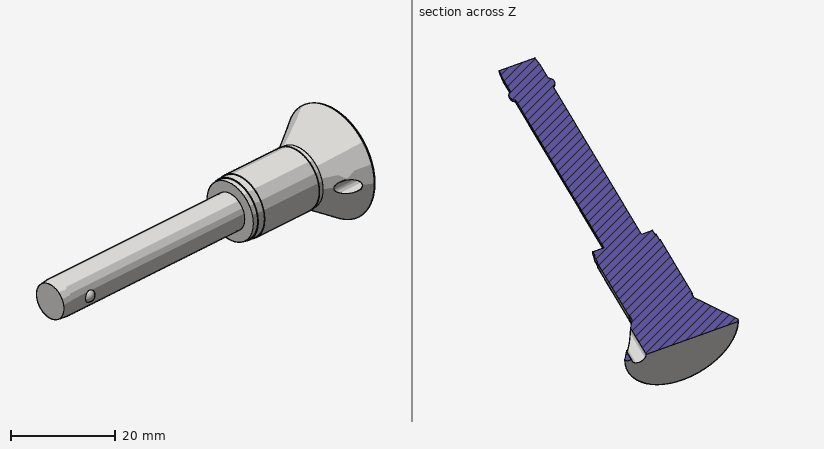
import cadquery as cq

total_length = 75.7
knob_radius = 12.0
barrel_radius = 6.7
shoulder_radius = 6.6
collar_radius = 6.35
pin_radius = 4.0
tip_radius = 3.8

rim_depth = 0.6
flare_end = 9.0
barrel_start = 10.1
shoulder_start = 24.75
shoulder_end = 26.35
collar_end = 27.5
tip_start = 73.65

ball_radius = 1.4
ball_offset = 3.4
ball_depth = 68.9

lanyard_hole_radius = 1.5
lanyard_hole_offset = 9.2

back_y = total_length / 2


def make_body():
    """Revolve the stepped half-outline (radius, y) about the Y axis."""
    return (
        cq.Workplane("XY")
        .moveTo(0, back_y)
        .lineTo(knob_radius - rim_depth, back_y)
        .radiusArc((knob_radius, back_y - rim_depth), rim_depth)
        .lineTo(shoulder_radius, back_y - flare_end)
        .lineTo(shoulder_radius, back_y - barrel_start)
        .lineTo(barrel_radius, back_y - barrel_start)
        .lineTo(barrel_radius, back_y - shoulder_start)
        .lineTo(shoulder_radius, back_y - shoulder_start)
        .lineTo(shoulder_radius, back_y - shoulder_end)
        .lineTo(collar_radius, back_y - shoulder_end)
        .lineTo(collar_radius, back_y - collar_end)
        .lineTo(pin_radius, back_y - collar_end)
        .lineTo(pin_radius, back_y - tip_start)
        .lineTo(tip_radius, back_y - total_length)
        .lineTo(0, back_y - total_length)
        .close()
        .revolve(360, (0, 0, 0), (0, 1, 0))
    )


def add_locking_balls(body):
    """Add the two balls that stand out from opposite sides of the pin."""
    for side in (-1, 1):
        center = (side * ball_offset, back_y - ball_depth, 0)
        body = body.union(cq.Workplane("XY").sphere(ball_radius).translate(center))
    return body


def cut_lanyard_hole(body):
    """Drill the lanyard hole through the flare, parallel to the pin."""
    hole = (
        cq.Workplane("XZ", origin=(lanyard_hole_offset, back_y, 0))
        .circle(lanyard_hole_radius)
        .extrude(flare_end)
    )
    return body.cut(hole)


result = cut_lanyard_hole(add_locking_balls(make_body()))